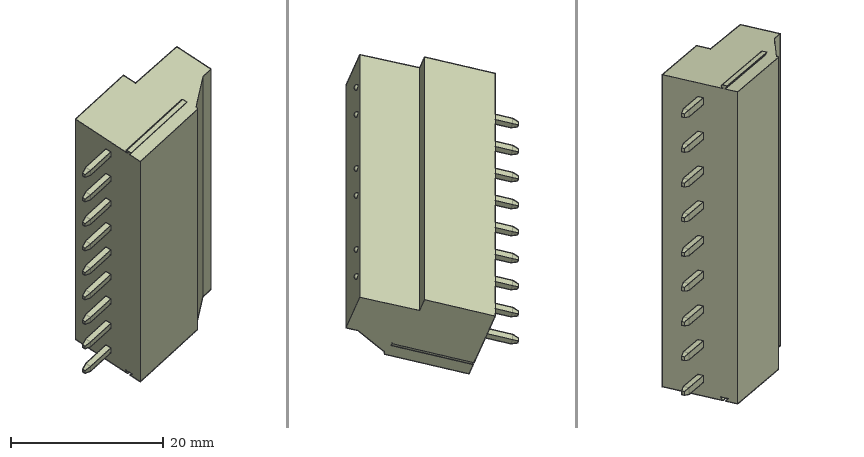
import cadquery as cq

pole_count = 9
pitch = 5.1
rib_height = 0.5
overall_height = 46.2
body_height = overall_height - rib_height
first_pole_z = body_height / 2 - pitch * (pole_count - 1) / 2

body_width = 11.2
body_depth = 18.03
step_depth = 9.8
step_width = 2.1
tower_left = 2.2
tower_right = 8.15
slope_back_y = 16.35
slope_front_x = 10.7
slope_front_y = 11.92
side_depth = 11.7

pin_width = 0.85
pin_height = 1.0
pin_tip_width = 0.4
pin_tip_height = 0.55
pin_straight = 4.1
pin_tip_length = 0.9
pin_x = 5.7

rib_x = 9.15
groove_x = 9.2
joint_length = 11.35
rib_half_width = 0.45
rib_half_root = 0.2
rib_chamfer = 0.2
groove_half_width = 0.55
groove_half_root = 0.2
groove_depth = 0.45

nub_x = 3.4
nub_height = 0.35
nub_radius = 0.4
group_size = 3
nub_sphere_radius = (nub_radius**2 + nub_height**2) / (2 * nub_height)


def make_housing():
    return (
        cq.Workplane("XY")
        .polyline([
            (0, 0),
            (body_width, 0),
            (body_width, side_depth),
            (slope_front_x, slope_front_y),
            (tower_right, slope_back_y),
            (tower_right, body_depth),
            (tower_left, body_depth),
            (step_width, step_depth),
            (0, step_depth),
        ])
        .close()
        .extrude(body_height)
    )


def extrude_along_y(outline):
    """Extrude a closed XZ outline from the pin face towards the back."""
    return cq.Workplane("XZ").polyline(outline).close().extrude(-joint_length)


def make_rib():
    left = rib_x - rib_half_width
    return extrude_along_y([
        (rib_x - rib_half_root, body_height),
        (rib_x + rib_half_root, body_height),
        (rib_x + rib_half_width, overall_height),
        (left + rib_chamfer, overall_height),
        (left, overall_height - rib_chamfer),
    ])


def make_groove():
    return extrude_along_y([
        (groove_x - groove_half_root, 0),
        (groove_x + groove_half_root, 0),
        (groove_x + groove_half_width, groove_depth),
        (groove_x - groove_half_width, groove_depth),
    ])


def make_pin(z):
    """Straight rectangular pin with a tapered tip, pointing to -Y."""
    shank = (
        cq.Workplane("XZ", origin=(pin_x, 0, z))
        .rect(pin_width, pin_height)
        .extrude(pin_straight)
    )
    return (
        shank.faces("<Y").workplane()
        .rect(pin_width, pin_height)
        .workplane(offset=pin_tip_length)
        .rect(pin_tip_width, pin_tip_height)
        .loft(combine=True)
    )


def make_nub(z):
    """Sphere sunk into the back face so that only its cap stands proud."""
    centre_y = body_depth + nub_height - nub_sphere_radius
    return cq.Workplane("XY").sphere(nub_sphere_radius).translate((nub_x, centre_y, z))


result = make_housing().union(make_rib()).cut(make_groove())

for pole in range(pole_count):
    result = result.union(make_pin(first_pole_z + pole * pitch))

for boundary in range(1, pole_count):
    if boundary % group_size != 0:
        result = result.union(make_nub(first_pole_z + (boundary - 0.5) * pitch))